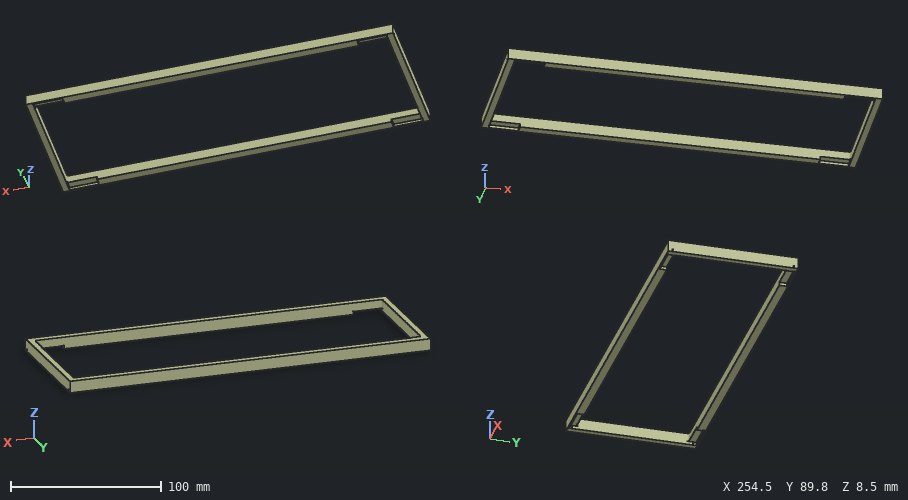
import cadquery as cq

length = 254.5
width = 89.8
height = 8.5
end_bar_width = 4.8
side_bar_width = 6.0
corner_radius = 1.0

recess_length = 20.4
recess_height = 2.3
outer_skin = 1.0

pinhole_diameter = 0.5
pinhole_height = 1.5

opening_length = length - 2 * end_bar_width
opening_width = width - 2 * side_bar_width


def make_frame():
    """Rectangular frame with rounded inner corners, resting on Z = 0."""
    opening = (
        cq.Workplane("XY")
        .rect(opening_length, opening_width)
        .extrude(height)
        .edges("|Z")
        .fillet(corner_radius)
    )
    return cq.Workplane("XY").rect(length, width).extrude(height).cut(opening)


def make_recess(x_side, y_side):
    """Block removed from a side bar next to one inner corner."""
    recess_width = side_bar_width - outer_skin + corner_radius
    x_center = x_side * (opening_length - recess_length) / 2
    y_center = y_side * (width / 2 - outer_skin - recess_width / 2)
    return (
        cq.Workplane("XY")
        .center(x_center, y_center)
        .rect(recess_length, recess_width)
        .extrude(recess_height)
    )


def make_pinhole(y_side):
    """Cylinder along X, centered in the width of a side bar."""
    y_center = y_side * (width - side_bar_width) / 2
    return (
        cq.Workplane("YZ")
        .center(y_center, pinhole_height)
        .circle(pinhole_diameter / 2)
        .extrude(length / 2, both=True)
    )


def make_end_bars():
    """The two end bars, which bound the reach of the pinholes."""
    x_center = (length - end_bar_width) / 2
    return (
        cq.Workplane("XY")
        .pushPoints([(-x_center, 0), (x_center, 0)])
        .rect(end_bar_width, width)
        .extrude(height)
    )


result = make_frame()
for y_side in (-1, 1):
    for x_side in (-1, 1):
        result = result.cut(make_recess(x_side, y_side))
    result = result.cut(make_pinhole(y_side).intersect(make_end_bars()))